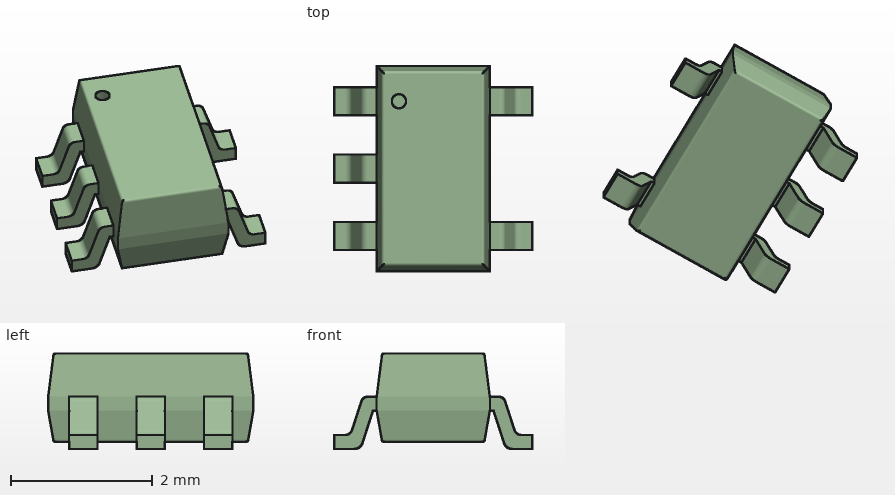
import cadquery as cq
import math

BODY_WIDTH = 1.6
BODY_LENGTH = 2.9
BODY_BOTTOM = 0.1
BODY_TOP = 1.35
TAPER_INSET = 0.078
EDGE_RADIUS = 0.04

MARK_DIAMETER = 0.2
MARK_DEPTH = 0.2
MARK_X = -0.485

LEAD_SPAN = 2.8
LEAD_THICKNESS = 0.2
LEAD_WIDTH = 0.4
LEAD_PITCH = 0.95
LEAD_TOP = 0.74
LEAN_ANGLE = 18.0
INNER_SHOULDER_X = 0.85
BEND_RADIUS = 0.1
HEEL_RADIUS = 0.12

LEAD_BOTTOM = LEAD_TOP - LEAD_THICKNESS
MARK_Y = LEAD_PITCH
LEFT, RIGHT = -1, 1
LEAD_PLACES = [(LEFT, -1), (LEFT, 0), (LEFT, 1), (RIGHT, -1), (RIGHT, 1)]


def tapered_block(height):
    """Block on the band outline at Z = 0, narrowing upward to the inset outline."""
    taper_angle = math.degrees(math.atan2(TAPER_INSET, height))
    block = cq.Workplane("XY").rect(BODY_WIDTH, BODY_LENGTH).extrude(height, taper=taper_angle)
    return block.faces(">Z").edges().fillet(EDGE_RADIUS)


def make_housing():
    band = cq.Workplane("XY", origin=(0, 0, LEAD_BOTTOM)).rect(BODY_WIDTH, BODY_LENGTH).extrude(LEAD_THICKNESS)
    upper = tapered_block(BODY_TOP - LEAD_TOP).translate((0, 0, LEAD_TOP))
    lower = tapered_block(LEAD_BOTTOM - BODY_BOTTOM).mirror("XY").translate((0, 0, LEAD_BOTTOM))
    mark = (
        cq.Workplane("XY", origin=(MARK_X, MARK_Y, BODY_TOP - MARK_DEPTH))
        .circle(MARK_DIAMETER / 2)
        .extrude(MARK_DEPTH)
    )
    return band.union(upper).union(lower).cut(mark)


def make_lead(side, row):
    """One lead against the housing wall: side is -1 or 1 along X, row counts pitches along Y."""
    lean = math.radians(LEAN_ANGLE)
    leg_width = LEAD_THICKNESS / math.cos(lean)

    def inner_x(z):
        return INNER_SHOULDER_X + (LEAD_BOTTOM - z) * math.tan(lean)

    def outer_x(z):
        return inner_x(z) + leg_width

    root_x = BODY_WIDTH / 2
    tip_x = LEAD_SPAN / 2
    shoulder = (outer_x(LEAD_TOP), LEAD_TOP)
    instep = (outer_x(LEAD_THICKNESS), LEAD_THICKNESS)
    heel = (inner_x(0), 0)
    outline = [
        (root_x, LEAD_TOP),
        shoulder,
        instep,
        (tip_x, LEAD_THICKNESS),
        (tip_x, 0),
        heel,
        (INNER_SHOULDER_X, LEAD_BOTTOM),
        (root_x, LEAD_BOTTOM),
    ]
    lead = cq.Workplane("XZ").polyline(outline).close().extrude(LEAD_WIDTH / 2, both=True)
    for (x, z), radius in ((shoulder, BEND_RADIUS), (instep, BEND_RADIUS), (heel, HEEL_RADIUS)):
        lead = lead.edges(cq.NearestToPointSelector((x, 0, z))).fillet(radius)
    if side == LEFT:
        lead = lead.mirror("YZ")
    return lead.translate((0, row * LEAD_PITCH, 0))


housing = make_housing()
leads = [make_lead(side, row) for side, row in LEAD_PLACES]

result = cq.Compound.makeCompound([housing.val(), *[lead.val() for lead in leads]])